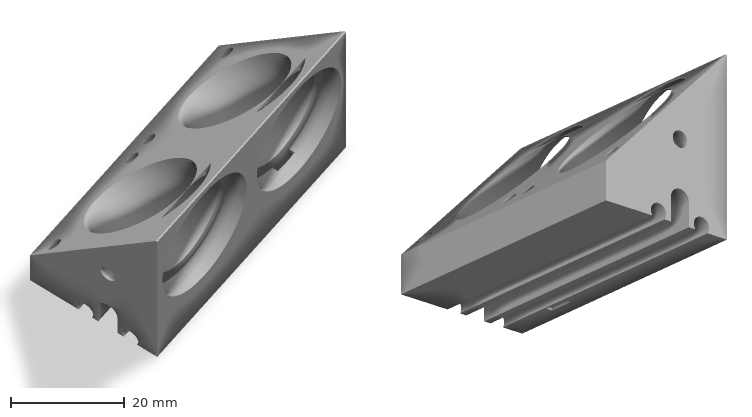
import cadquery as cq
import math

depth = 27.85
length = 56.0
height = 35.2
front_height = 7.55
top_land = 0.35

bore_spacing = 28.0
bore_diameter = 20.0
bore_height = 21.45
seat_diameter = 25.0
seat_depth = 4.05
seat_floor_x = depth - seat_depth

screw_diameter = 2.8
screw_depth = 5.6
screw_x = 3.5
screw_offset = 11.55

channel_x = 17.0
channel_width = 4.15
channel_height = 6.8
groove_diameter = 3.5
groove_axis_height = 1.0
groove_offset = 4.9

side_hole_diameter = 3.25
side_hole_height = 16.25
drain_depth = 1.25
drain_width = 5.0

bore_positions = [-bore_spacing / 2, bore_spacing / 2]
slope_run = depth - top_land
slope_rise = height - front_height
slope_length = math.hypot(slope_run, slope_rise)
into_slope = cq.Vector(slope_rise / slope_length, 0, -slope_run / slope_length)


def make_wedge():
    return (
        cq.Workplane("XZ")
        .moveTo(0, 0)
        .lineTo(depth, 0)
        .lineTo(depth, height)
        .lineTo(slope_run, height)
        .lineTo(0, front_height)
        .close()
        .extrude(length / 2, both=True)
    )


def cylinder(diameter, span, start, direction):
    return cq.Workplane(cq.Solid.makeCylinder(diameter / 2, span, cq.Vector(*start), cq.Vector(direction)))


def lengthwise_groove(x, z, diameter):
    return cylinder(diameter, length, (x, -length / 2, z), (0, 1, 0))


def make_channel():
    arch_height = channel_height - channel_width / 2
    walls = cq.Workplane("XY").box(channel_width, length, arch_height, centered=(True, True, False))
    return walls.translate((channel_x, 0, 0)).union(lengthwise_groove(channel_x, arch_height, channel_width))


result = make_wedge()

for bore_y in bore_positions:
    result = result.cut(cylinder(bore_diameter, depth, (0, bore_y, bore_height), (1, 0, 0)))
    result = result.cut(cylinder(seat_diameter, seat_depth, (seat_floor_x, bore_y, bore_height), (1, 0, 0)))
    for side in (-1, 1):
        screw_z = front_height + screw_x * slope_rise / slope_run
        mouth = cq.Vector(screw_x, bore_y + side * screw_offset, screw_z)
        start = mouth - into_slope * screw_depth
        result = result.cut(cylinder(screw_diameter, 2 * screw_depth, start.toTuple(), into_slope))

result = result.cut(make_channel())
for side in (-1, 1):
    groove_x = channel_x + side * groove_offset
    result = result.cut(lengthwise_groove(groove_x, groove_axis_height, groove_diameter))

side_hole_length = length / 2 - bore_spacing / 2
side_hole_start = (channel_x, -length / 2, side_hole_height)
result = result.cut(cylinder(side_hole_diameter, side_hole_length, side_hole_start, (0, 1, 0)))

drain = cq.Workplane("XY").box(drain_depth, drain_width, bore_height, centered=(False, True, False))
result = result.cut(drain.translate((seat_floor_x, bore_spacing / 2, 0)))